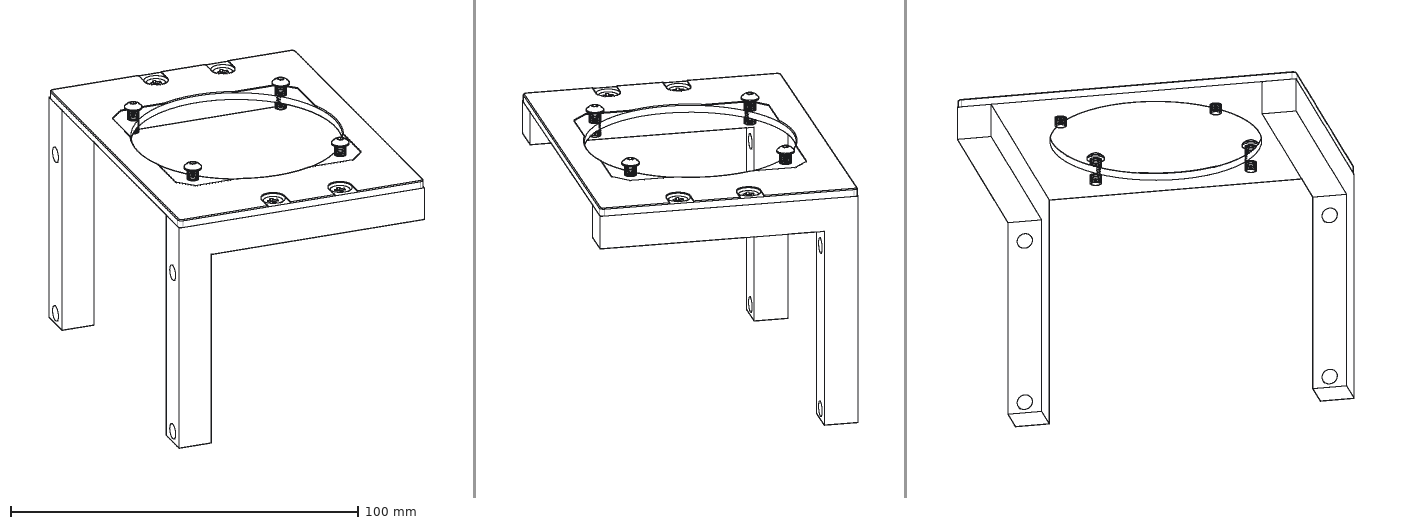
import cadquery as cq
import math

FRAME_WIDTH = 100.0
FRAME_DEPTH = 76.2
BAR = 10.0
BRACKET_HEIGHT = 69.4
BRACKET_X = (FRAME_WIDTH - BAR) / 2
LEG_HOLE_DIAMETER = 4.5
LEG_HOLE_BOTTOM = 3.3
LEG_HOLE_SPACING = 50.0

PLATE_THICKNESS = 2.4
PLATE_CORNER_RADIUS = 1.2
PLATE_CHAMFER = 0.3
PLATE_TOP = BRACKET_HEIGHT + PLATE_THICKNESS
OPENING_DIAMETER = 61.0

RECESS_DEPTH = 0.3
RECESS_FLOOR = PLATE_TOP - RECESS_DEPTH
FAN_SEAT_SIZE = 57.6
FAN_SEAT_CORNER_CUT = 4.4
SLOT_WIDTH = 7.1

FIXING_Y = (-6.9, 13.9)
COUNTERSINK_DIAMETER = 7.0
HEAD_DIAMETER = 5.7
HEAD_DROP = (COUNTERSINK_DIAMETER - HEAD_DIAMETER) / 2
HEAD_TOP = RECESS_FLOOR - HEAD_DROP
CROSS_LENGTH = 3.0
CROSS_WIDTH = 0.9
CROSS_DEPTH = 0.8

FAN_SCREW_SPACING = 45.8
SCREW_TOP = 76.3
SCREW_BOTTOM = 67.0
SCREW_HEAD_DIAMETER = 5.1
SCREW_HEAD_HEIGHT = 1.6
SCREW_RIM_HEIGHT = 0.4
SCREW_CROWN_DIAMETER = 2.0
SCREW_DOME_BULGE = 0.1
SCREW_DIAMETER = 3.4
SCREW_ROOT_DIAMETER = 2.6
THREAD_PITCH = 0.45
CREST_WIDTH = 0.05
SOCKET_SIZE = 1.4
SOCKET_DEPTH = 0.8


def cylinder(diameter, bottom, top, x, y):
    return (
        cq.Workplane("XY", origin=(x, y, bottom))
        .circle(diameter / 2)
        .extrude(top - bottom)
    )


def fixing_cone(wide_diameter, wide_z, x, y):
    """A 90 degree cone narrowing from its wide end down to the top of the bracket."""
    drop = wide_z - BRACKET_HEIGHT
    return (
        cq.Workplane("XY", origin=(x, y, BRACKET_HEIGHT))
        .circle(wide_diameter / 2 - drop)
        .workplane(offset=drop)
        .circle(wide_diameter / 2)
        .loft(ruled=True)
    )


def make_plate():
    plate = (
        cq.Workplane("XY", origin=(0, 0, BRACKET_HEIGHT))
        .rect(FRAME_WIDTH, FRAME_DEPTH)
        .extrude(PLATE_THICKNESS)
        .edges("|Z")
        .fillet(PLATE_CORNER_RADIUS)
        .cut(cylinder(OPENING_DIAMETER, BRACKET_HEIGHT, PLATE_TOP, 0, 0))
        .faces(">Z")
        .chamfer(PLATE_CHAMFER)
    )
    fan_seat = (
        cq.Workplane("XY", origin=(0, 0, RECESS_FLOOR))
        .rect(FAN_SEAT_SIZE, FAN_SEAT_SIZE)
        .extrude(RECESS_DEPTH)
        .edges("|Z")
        .chamfer(FAN_SEAT_CORNER_CUT)
    )
    plate = plate.cut(fan_seat)
    for side in (-1, 1):
        for y in FIXING_Y:
            plate = plate.cut(edge_slot(side, y))
            plate = plate.cut(fixing_cone(COUNTERSINK_DIAMETER, RECESS_FLOOR, side * BRACKET_X, y))
    for x, y in fan_screw_places():
        plate = plate.cut(cylinder(SCREW_DIAMETER, BRACKET_HEIGHT, PLATE_TOP, x, y))
    return plate


def edge_slot(side, y):
    """A shallow slot open at the plate's side, with a round inner end around a fixing."""
    length = FRAME_WIDTH / 2 - BRACKET_X
    straight = (
        cq.Workplane("XY", origin=(side * (BRACKET_X + length / 2), y, RECESS_FLOOR))
        .rect(length, SLOT_WIDTH)
        .extrude(RECESS_DEPTH)
    )
    return straight.union(cylinder(SLOT_WIDTH, RECESS_FLOOR, PLATE_TOP, side * BRACKET_X, y))


def make_bracket(side):
    x = side * BRACKET_X
    front = -FRAME_DEPTH / 2
    bracket = (
        cq.Workplane("YZ", origin=(x - BAR / 2, 0, 0))
        .moveTo(front, 0)
        .lineTo(front, BRACKET_HEIGHT)
        .lineTo(-front, BRACKET_HEIGHT)
        .lineTo(-front, BRACKET_HEIGHT - BAR)
        .lineTo(front + BAR, BRACKET_HEIGHT - BAR)
        .lineTo(front + BAR, 0)
        .close()
        .extrude(BAR)
    )
    leg_holes = (
        cq.Workplane("XZ", origin=(x, front + BAR, 0))
        .pushPoints([(0, LEG_HOLE_BOTTOM), (0, LEG_HOLE_BOTTOM + LEG_HOLE_SPACING)])
        .circle(LEG_HOLE_DIAMETER / 2)
        .extrude(BAR)
    )
    bracket = bracket.cut(leg_holes)
    for y in FIXING_Y:
        bracket = bracket.union(fixing_head(x, y))
    return bracket


def fixing_head(x, y):
    """A conical head with a cross recess, filling the plate's countersink."""
    cross = (
        cq.Workplane("XY", origin=(x, y, HEAD_TOP - CROSS_DEPTH))
        .rect(CROSS_LENGTH, CROSS_WIDTH)
        .extrude(CROSS_DEPTH)
    )
    cross = cross.union(cross.rotate((x, y, 0), (x, y, 1), 90))
    return fixing_cone(HEAD_DIAMETER, HEAD_TOP, x, y).cut(cross)


def fan_screw_places():
    half = FAN_SCREW_SPACING / 2
    return [(x, y) for x in (-half, half) for y in (-half, half)]


def make_fan_screw(x, y):
    """A domed, hex-socket screw whose thread is a stack of ring-shaped ridges."""
    head_bottom = SCREW_TOP - SCREW_HEAD_HEIGHT
    rim_top = head_bottom + SCREW_RIM_HEIGHT
    head_radius = SCREW_HEAD_DIAMETER / 2
    crown_radius = SCREW_CROWN_DIAMETER / 2
    dome_middle = (
        (head_radius + crown_radius) / 2 + SCREW_DOME_BULGE,
        (rim_top + SCREW_TOP) / 2 + SCREW_DOME_BULGE,
    )
    crest = SCREW_DIAMETER / 2
    root = SCREW_ROOT_DIAMETER / 2
    flank = (THREAD_PITCH - CREST_WIDTH) / 2

    outline = (
        cq.Workplane("XZ")
        .moveTo(0, SCREW_TOP)
        .lineTo(crown_radius, SCREW_TOP)
        .threePointArc(dome_middle, (head_radius, rim_top))
        .lineTo(head_radius, head_bottom)
        .lineTo(root, head_bottom)
    )
    ridge_count = math.floor((head_bottom - SCREW_BOTTOM) / THREAD_PITCH)
    for ridge in range(ridge_count):
        ridge_top = head_bottom - ridge * THREAD_PITCH
        outline = (
            outline.lineTo(crest, ridge_top - flank)
            .lineTo(crest, ridge_top - flank - CREST_WIDTH)
            .lineTo(root, ridge_top - THREAD_PITCH)
        )
    outline = outline.lineTo(root, SCREW_BOTTOM).lineTo(0, SCREW_BOTTOM).close()
    screw = outline.revolve(360, (0, 0), (0, 1))
    socket = (
        cq.Workplane("XY", origin=(0, 0, SCREW_TOP - SOCKET_DEPTH))
        .polygon(6, SOCKET_SIZE, circumscribed=True)
        .extrude(SOCKET_DEPTH)
    )
    return screw.cut(socket).translate((x, y, 0))


plate = make_plate()
brackets = [make_bracket(side) for side in (-1, 1)]
fan_screws = [make_fan_screw(x, y) for x, y in fan_screw_places()]

result = cq.Compound.makeCompound(
    [plate.val(), *[bracket.val() for bracket in brackets], *[screw.val() for screw in fan_screws]]
)